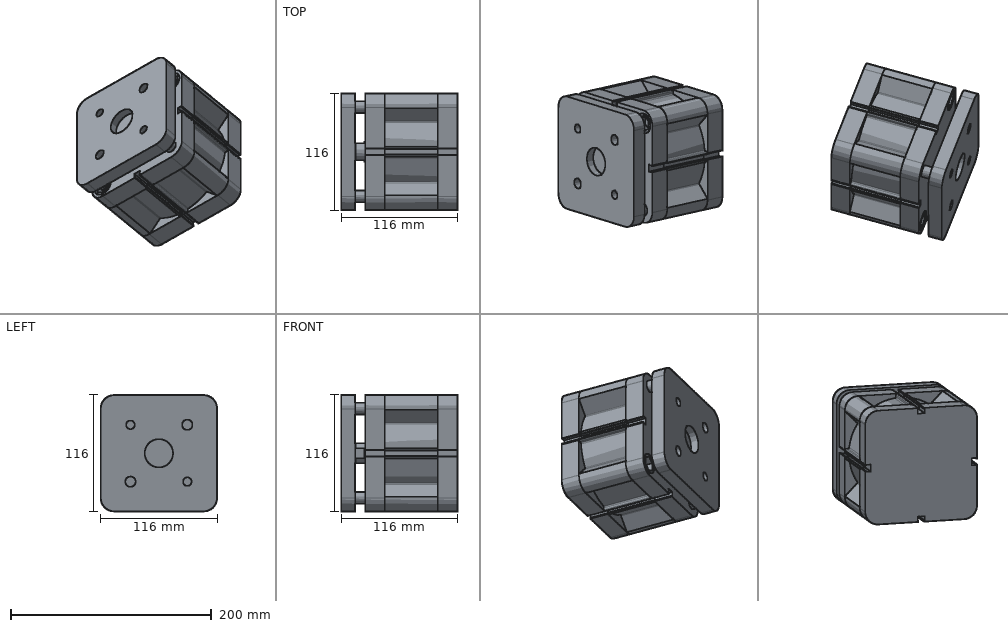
import cadquery as cq
import math


side = 116.0
half_side = side / 2
plate_thickness = 14.0
gap = 10.0
cap_length = 19.6
front_cap_start = plate_thickness + gap
barrel_start = front_cap_start + cap_length
barrel_end = side - cap_length
barrel_length = barrel_end - barrel_start

corner_radius = 13.6
corner_centre = half_side - corner_radius

plate_recess_diameter = 28.2
plate_recess_depth = 8.4
plate_hole_offset = 28.3
large_hole_diameter = 10.3
small_hole_diameter = 8.6
guide_rod_diameter = 12.0

piston_rod_diameter = 20.0
piston_rod_across_flats = 17.0
piston_rod_collar = 1.0
piston_rod_chamfer = 0.5

screw_recess_diameter = 20.2
screw_recess_depth = 0.6
socket_across_flats = 14.0
socket_depth = 8.4

tube_radius = 53.9
rib_width = 20.6
rib_length = 2 * (corner_centre * math.sqrt(2) + corner_radius)
rib_root_fillet = 0.9
rail_width = 10.3
rail_edge_fillet = 1.0
rail_root_fillet = 1.2

slot_depth = 5.6
slot_lip = 1.2
cap_slot_width = 6.0
cap_undercut_width = 7.2
barrel_slot_width = 5.0
barrel_undercut_width = 6.1
barrel_lip_fillet = 0.6

SIDE_ANGLES = (0, 90, 180, 270)


def section_at(x):
    """Workplane across the axis at x, with local x along +Y and local y along +Z."""
    return cq.Workplane("YZ", origin=(x, 0, 0))


def turned(body, angle):
    """The body turned about the cylinder axis."""
    return body.rotate((0, 0, 0), (1, 0, 0), angle)


def rounded_square(x, length):
    return section_at(x).rect(side, side).extrude(length).edges("|X").fillet(corner_radius)


def make_yoke():
    """Plate with a blind centre recess, four through holes and two diagonal guide rods."""
    yoke = rounded_square(0, plate_thickness)
    recess = section_at(0).circle(plate_recess_diameter / 2).extrude(plate_recess_depth)
    yoke = yoke.cut(recess)

    offset = plate_hole_offset
    large_places = [(offset, -offset), (-offset, offset)]
    small_places = [(offset, offset), (-offset, -offset)]
    for places, diameter in ((large_places, large_hole_diameter), (small_places, small_hole_diameter)):
        holes = section_at(0).pushPoints(places).circle(diameter / 2).extrude(plate_thickness)
        yoke = yoke.cut(holes)

    rod_places = [(corner_centre, corner_centre), (-corner_centre, -corner_centre)]
    rods = section_at(plate_thickness).pushPoints(rod_places).circle(guide_rod_diameter / 2).extrude(gap)
    return yoke.union(rods)


def make_piston_rod():
    """Round rod, chamfered at the plate, with two wrench flats that leave a collar at the cap."""
    rod = section_at(plate_thickness).circle(piston_rod_diameter / 2).extrude(gap)
    rod = rod.faces("<X").chamfer(piston_rod_chamfer)
    flat_length = gap - piston_rod_collar
    flat_depth = (piston_rod_diameter - piston_rod_across_flats) / 2
    flat_centre = (piston_rod_across_flats + flat_depth) / 2
    flats = (
        section_at(plate_thickness)
        .pushPoints([(flat_centre, 0), (-flat_centre, 0)])
        .rect(flat_depth, piston_rod_diameter)
        .extrude(flat_length)
    )
    return rod.cut(flats)


def cut_slots(body, x, length, mouth_width, undercut_width):
    """Cut an undercut slot along the middle of each of the four sides."""
    mouth = section_at(x).center(half_side - slot_depth / 2, 0).rect(slot_depth, mouth_width)
    undercut_depth = slot_depth - slot_lip
    undercut_centre = half_side - slot_lip - undercut_depth / 2
    undercut = section_at(x).center(undercut_centre, 0).rect(undercut_depth, undercut_width)
    slot = mouth.extrude(length).union(undercut.extrude(length))
    for angle in SIDE_ANGLES:
        body = body.cut(turned(slot, angle))
    return body


def make_cap(x):
    return cut_slots(rounded_square(x, cap_length), x, cap_length, cap_slot_width, cap_undercut_width)


def make_front_cap():
    """Cap with a shallow screw recess and a hexagon socket in the two corners without guide rods."""
    cap = make_cap(front_cap_start)
    across_corners = socket_across_flats / math.cos(math.pi / 6)
    socket = turned(section_at(front_cap_start).polygon(6, across_corners).extrude(socket_depth), 30)
    recess = section_at(front_cap_start).circle(screw_recess_diameter / 2).extrude(screw_recess_depth)
    screw = recess.union(socket)
    for y, z in ((corner_centre, -corner_centre), (-corner_centre, corner_centre)):
        cap = cap.cut(screw.translate((0, y, z)))
    return cap


def fillet_long_edge(body, y, z, radius):
    """Round the barrel edge that runs along X through (y, z)."""
    middle = (barrel_start + barrel_end) / 2
    return body.edges(cq.selectors.NearestToPointSelector((middle, y, z))).fillet(radius)


def fillet_tube_root(barrel, angle, radius):
    """Round the inner corner where a flat side meets the tube at the given angle."""
    y = tube_radius * math.cos(math.radians(angle))
    z = tube_radius * math.sin(math.radians(angle))
    return fillet_long_edge(barrel, y, z, radius)


def make_barrel():
    barrel = section_at(barrel_start).circle(tube_radius).extrude(barrel_length)

    round_ends = section_at(barrel_start).slot2D(rib_length, 2 * corner_radius).extrude(barrel_length)
    slab = section_at(barrel_start).rect(rib_length, rib_width).extrude(barrel_length)
    rib = round_ends.intersect(slab)
    for angle in (45, 135):
        barrel = barrel.union(turned(rib, angle))

    rail = section_at(barrel_start).rect(side, rail_width).extrude(barrel_length)
    rail = rail.edges("|X").fillet(rail_edge_fillet)
    for angle in (0, 90):
        barrel = barrel.union(turned(rail, angle))

    rib_half_angle = math.degrees(math.asin(rib_width / 2 / tube_radius))
    rail_half_angle = math.degrees(math.asin(rail_width / 2 / tube_radius))
    for side_angle in SIDE_ANGLES:
        for sign in (1, -1):
            barrel = fillet_tube_root(barrel, side_angle + 45 + sign * rib_half_angle, rib_root_fillet)
            barrel = fillet_tube_root(barrel, side_angle + sign * rail_half_angle, rail_root_fillet)

    barrel = cut_slots(barrel, barrel_start, barrel_length, barrel_slot_width, barrel_undercut_width)

    half_slot = barrel_slot_width / 2
    for outer in (half_side, -half_side):
        for edge in (half_slot, -half_slot):
            barrel = fillet_long_edge(barrel, outer, edge, barrel_lip_fillet)
            barrel = fillet_long_edge(barrel, edge, outer, barrel_lip_fillet)
    return barrel


yoke = make_yoke()
piston_rod = make_piston_rod()
front_cap = make_front_cap()
barrel = make_barrel()
end_cap = make_cap(barrel_end)

bodies = (yoke, piston_rod, front_cap, barrel, end_cap)
result = cq.Compound.makeCompound([body.solids().val() for body in bodies])